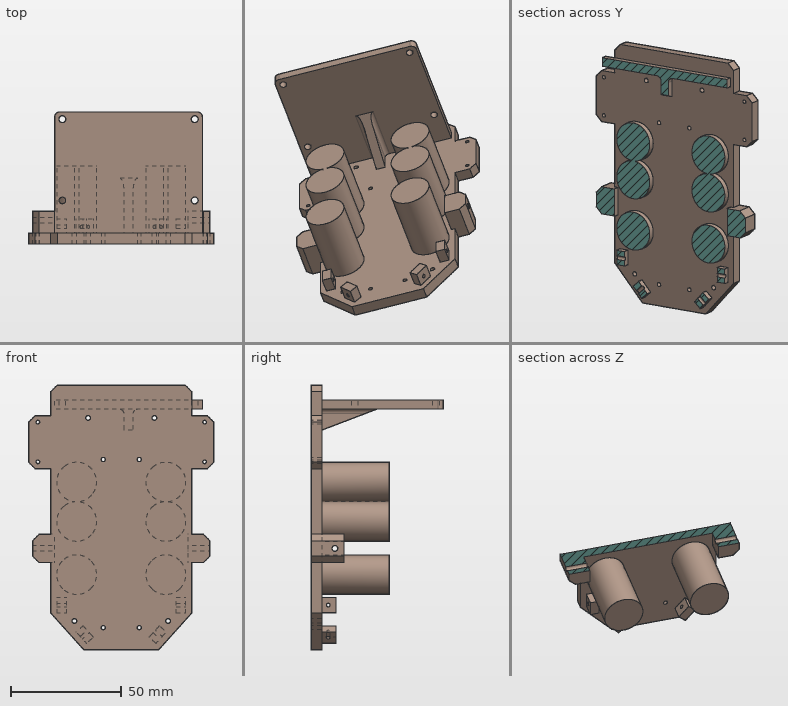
import cadquery as cq
import math

HEIGHT = 120.0
PLATE_THICKNESS = 5.0
BODY_WIDTH = 64.0
BOTTOM_WIDTH = 34.0
BEVEL_HEIGHT = 16.7
CORNER_CHAMFER = 3.0

EAR_SPAN = 84.0
EAR_BOTTOM = 82.1
EAR_TOP = 106.2

TAB_SPAN = 80.4
TAB_WIDTH = 10.0
TAB_BOTTOM = 39.5
TAB_TOP = 52.5
TAB_DEPTH = 15.0
TAB_HOLE_DIAMETER = 2.5
TAB_HOLE_Y = 10.8
TAB_HOLE_Z = (TAB_BOTTOM + TAB_TOP) / 2

PLATE_HOLES = [
    (15.0, 105.1, 2.0),
    (37.8, 103.2, 1.5),
    (37.8, 85.2, 1.5),
    (8.2, 86.3, 1.8),
    (21.2, 13.1, 2.0),
    (8.2, 10.1, 1.8),
]

TOTAL_DEPTH = 60.0
SHELF_LEFT = -30.2
SHELF_WIDTH = 67.1
SHELF_TOP = 113.3
SHELF_THICKNESS = 4.2
SHELF_CORNER_RADIUS = 2.4
SHELF_HOLE_DIAMETER = 3.0
SHELF_HOLE_SPACING_X = 60.0
SHELF_HOLES_Y = (19.8, 56.6)

RIB_WIDTH = 4.2
RIB_END_Y = 29.9
RIB_BOTTOM = 99.6
RIB_FILLET = 2.0

LUG_INSET = 2.9
POST_DIAMETER = 18.0
POST_INSET = 2.8
POST_END_Y = 35.5
POST_HEIGHTS = (34.1, 58.2, 76.1)
LUG_WIDTH = 4.2
LUG_LENGTH = 7.0
LUG_END_Y = 11.4
LUG_HOLE_DIAMETER = 1.5
LUG_HOLE_Y = 7.8
UPPER_LUG_Z = 20.3
LOWER_LUG_FACE_Z = 5.5

SIDES = (-1, 1)
HALF_BODY = BODY_WIDTH / 2
SHELF_BOTTOM = SHELF_TOP - SHELF_THICKNESS
SHELF_CENTER_X = SHELF_LEFT + SHELF_WIDTH / 2


def box(x_min, x_max, y_min, y_max, z_min, z_max):
    """Axis-aligned block between two opposite corners."""
    size = (x_max - x_min, y_max - y_min, z_max - z_min)
    return cq.Workplane("XY").box(*size, centered=False).translate((x_min, y_min, z_min))


def cylinder(diameter, start, direction, length):
    """Solid cylinder from a start point along a direction."""
    return cq.Workplane(cq.Solid.makeCylinder(
        diameter / 2, length, cq.Vector(*start), cq.Vector(*direction)))


def make_body():
    """Main plate with bevelled lower corners and chamfered upper corners."""
    half_outline = [
        (BOTTOM_WIDTH / 2, 0),
        (HALF_BODY, BEVEL_HEIGHT),
        (HALF_BODY, HEIGHT - CORNER_CHAMFER),
        (HALF_BODY - CORNER_CHAMFER, HEIGHT),
    ]
    mirrored = [(-x, z) for x, z in reversed(half_outline)]
    outline = cq.Workplane("XZ").polyline(half_outline + mirrored).close()
    return outline.extrude(-PLATE_THICKNESS)


def make_ears():
    """Wide bar across the plate whose ends form the chamfered ears."""
    bar = box(-EAR_SPAN / 2, EAR_SPAN / 2, 0, PLATE_THICKNESS, EAR_BOTTOM, EAR_TOP)
    return bar.edges("|Y").chamfer(CORNER_CHAMFER)


def make_tab(side):
    """Side block with chamfered outer corners; side is -1 for -X, +1 for +X."""
    outer = TAB_SPAN / 2
    tab = box(outer - TAB_WIDTH, outer, 0, TAB_DEPTH, TAB_BOTTOM, TAB_TOP)
    tab = tab.edges("|Y and >X").chamfer(CORNER_CHAMFER)
    return tab if side > 0 else tab.mirror("YZ")


def make_shelf():
    """Horizontal plate with rounded far corners and four holes."""
    shelf_right = SHELF_LEFT + SHELF_WIDTH
    shelf = box(SHELF_LEFT, shelf_right, PLATE_THICKNESS, TOTAL_DEPTH, SHELF_BOTTOM, SHELF_TOP)
    shelf = shelf.edges("|Z and >Y").fillet(SHELF_CORNER_RADIUS)
    for side in SIDES:
        for y in SHELF_HOLES_Y:
            start = (SHELF_CENTER_X + side * SHELF_HOLE_SPACING_X / 2, y, SHELF_BOTTOM)
            shelf = shelf.cut(cylinder(SHELF_HOLE_DIAMETER, start, (0, 0, 1), SHELF_THICKNESS))
    return shelf


def make_rib():
    """Triangular rib: a flared cross-section trimmed to a triangle in the YZ plane."""
    half = RIB_WIDTH / 2
    arc_offset = RIB_FILLET * (1 - math.sqrt(0.5))
    section = (
        cq.Workplane("XZ")
        .moveTo(-half, RIB_BOTTOM)
        .lineTo(half, RIB_BOTTOM)
        .lineTo(half, SHELF_BOTTOM - RIB_FILLET)
        .threePointArc((half + arc_offset, SHELF_BOTTOM - arc_offset), (half + RIB_FILLET, SHELF_BOTTOM))
        .lineTo(-half - RIB_FILLET, SHELF_BOTTOM)
        .threePointArc((-half - arc_offset, SHELF_BOTTOM - arc_offset), (-half, SHELF_BOTTOM - RIB_FILLET))
        .close()
        .extrude(-RIB_END_Y)
    )
    triangle = (
        cq.Workplane("YZ")
        .polyline([
            (PLATE_THICKNESS, RIB_BOTTOM),
            (RIB_END_Y, SHELF_BOTTOM),
            (PLATE_THICKNESS, SHELF_BOTTOM),
        ])
        .close()
        .extrude(half + RIB_FILLET, both=True)
    )
    return section.intersect(triangle).translate((SHELF_CENTER_X, 0, 0))


def make_post(side, z):
    """Round post standing on the back of the plate."""
    x = side * (HALF_BODY - POST_INSET - POST_DIAMETER / 2)
    return cylinder(POST_DIAMETER, (x, 0, z), (0, 1, 0), POST_END_Y)


def make_lug(face_x, face_z, angle):
    """Drilled lug whose -X face is centred on a point, turned about Y there by angle (degrees)."""
    lug = box(0, LUG_WIDTH, 0, LUG_END_Y, -LUG_LENGTH / 2, LUG_LENGTH / 2)
    hole = cylinder(LUG_HOLE_DIAMETER, (0, LUG_HOLE_Y, 0), (1, 0, 0), LUG_WIDTH)
    lug = lug.cut(hole).rotate((0, 0, 0), (0, 1, 0), angle)
    return lug.translate((face_x, 0, face_z))


def make_lugs():
    """Vertical lug by the straight edge and slanted lug along the bevel, on both sides."""
    bevel_run = HALF_BODY - BOTTOM_WIDTH / 2
    bevel_angle = math.atan2(bevel_run, BEVEL_HEIGHT)
    inset_x = LUG_INSET / math.cos(bevel_angle)
    lower_x = -BOTTOM_WIDTH / 2 - LOWER_LUG_FACE_Z * math.tan(bevel_angle) + inset_x
    upper = make_lug(-HALF_BODY + LUG_INSET, UPPER_LUG_Z, 0)
    lower = make_lug(lower_x, LOWER_LUG_FACE_Z, -math.degrees(bevel_angle))
    return [upper, lower, upper.mirror("YZ"), lower.mirror("YZ")]


result = make_body().union(make_ears()).union(make_shelf()).union(make_rib())
for lug in make_lugs():
    result = result.union(lug)
for side in SIDES:
    result = result.union(make_tab(side))
    for post_z in POST_HEIGHTS:
        result = result.union(make_post(side, post_z))

for half_spacing, hole_z, diameter in PLATE_HOLES:
    for side in SIDES:
        start = (side * half_spacing, 0, hole_z)
        result = result.cut(cylinder(diameter, start, (0, 1, 0), PLATE_THICKNESS))
tab_hole_start = (-TAB_SPAN / 2, TAB_HOLE_Y, TAB_HOLE_Z)
result = result.cut(cylinder(TAB_HOLE_DIAMETER, tab_hole_start, (1, 0, 0), TAB_SPAN))